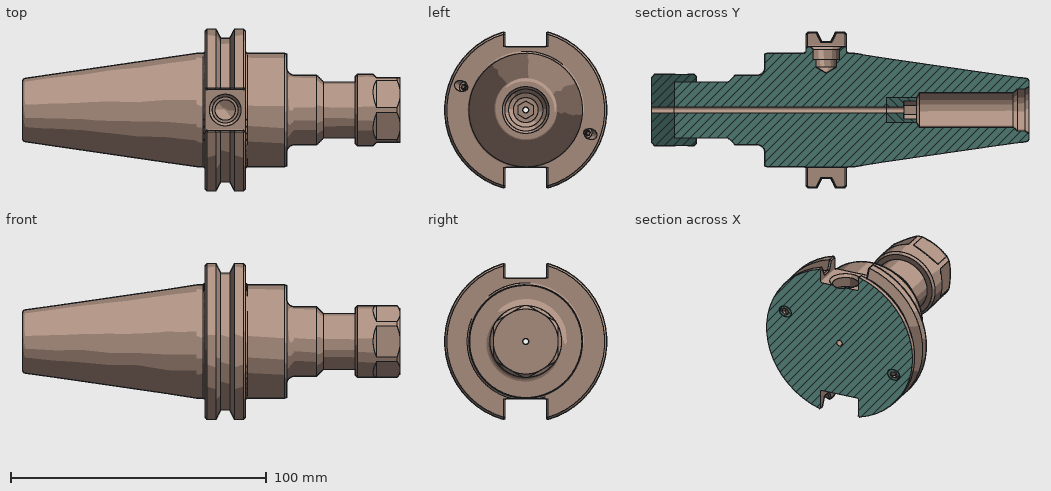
import cadquery as cq
import math

TOTAL_LENGTH = 147.6

TOLERANCE = 0.01

CUTTER_CLEARANCE = 4.5

HEXAGON_SIDES = 6

TAPER_RATIO = 7 / 24
TAPER_LENGTH = 68.2
GAUGE_RADIUS = 22.22
TAPER_END_RADIUS = GAUGE_RADIUS - TAPER_LENGTH * TAPER_RATIO / 2
TAPER_END_FILLET = 1.3

FLANGE_START = 71.3
FLANGE_WIDTH = 16.0
FLANGE_END = FLANGE_START + FLANGE_WIDTH
FLANGE_RADIUS = 31.7
FLANGE_CHAMFER = 0.9
FLANGE_ROOT_FILLET = 0.7
GROOVE_RADIUS = 28.2
GROOVE_FLOOR_WIDTH = 3.5
GROOVE_MOUTH_WIDTH = 7.2
GROOVE_CENTRE = FLANGE_START + FLANGE_WIDTH / 2

SLOT_WIDTH = 16.1
UPPER_SLOT_FLOOR = 24.8
LOWER_SLOT_FLOOR = 22.5
SLOT_EDGE_CHAMFER = 0.6
SLOT_CORNER_FILLET = 0.3

POCKET_RIM_DIAMETER = 12.4
POCKET_DIAMETER = 10.2
POCKET_DEPTH = 5.0
DRILL_DIAMETER = 8.0
DRILL_LENGTH = 3.0
DRILL_TIP_ANGLE = 118.0

BODY_END = 103.3
BODY_EDGE_CHAMFER_LENGTH = 0.9
BODY_EDGE_CHAMFER_HEIGHT = 0.3
STEP_RADIUS = 13.65
STEP_ROOT_FILLET = 3.0
STEP_END = 115.0
NECK_RADIUS = 11.0
NECK_END = 138.8

MOUTH_DIAMETER = 18.3
MOUTH_DEPTH = 1.6
PILOT_DIAMETER = 16.4
PILOT_DEPTH = 4.6
THREAD_DIAMETER = 13.5
THREAD_START = 6.2
THREAD_DEPTH = 42.8
SCREW_DIAMETER = 9.7
SCREW_LENGTH = 11.8
SCREW_SOCKET_ACROSS_FLATS = 6.0
SCREW_SOCKET_DEPTH = 5.0
COOLANT_DIAMETER = 2.2

PLUG_DIAMETER = 4.1
PLUG_LENGTH = 4.0
PLUG_RECESS = 1.9
PLUG_PITCH_RADIUS = 27.0
PLUG_ANGLE = 20.4
PLUG_TILT = 37.0
PLUG_TURNS = (0, 180)
PLUG_SOCKET_ACROSS_FLATS = 2.0
PLUG_SOCKET_DEPTH = 2.0

NUT_START = 130.0
NUT_RADIUS = 14.0
NUT_BACK_CHAMFER = 0.9
NUT_FRONT_CHAMFER_LENGTH = 1.2
NUT_FRONT_CHAMFER_HEIGHT = 1.3
NUT_ACROSS_FLATS = 25.2
NUT_FLATS_START = 138.5


def cone_depth(diameter_change):
    """Axial depth of a drill-point cone over the given change of diameter."""
    return diameter_change / 2 / math.tan(math.radians(DRILL_TIP_ANGLE / 2))


def hexagon_diameter(across_flats):
    """Diameter over the corners of a hexagon."""
    return across_flats / math.cos(math.pi / HEXAGON_SIDES)


def revolve_about_x(profile):
    """Turn a closed XY profile around the X axis."""
    return profile.close().revolve(360, (0, 0, 0), (1, 0, 0))


def axial_cylinder(start, length, diameter):
    return cq.Workplane("YZ", origin=(start, 0, 0)).circle(diameter / 2).extrude(length)


def axial_hexagon(start, length, across_flats):
    """Hexagonal prism along X with corners at +Z and -Z."""
    return (
        cq.Workplane("YZ", origin=(start, 0, 0))
        .transformed(rotate=(0, 0, 90))
        .polygon(HEXAGON_SIDES, hexagon_diameter(across_flats))
        .extrude(length)
    )


THREAD_TIP_END = THREAD_DEPTH + cone_depth(THREAD_DIAMETER - SCREW_DIAMETER)


def taper():
    profile = (
        cq.Workplane("XY")
        .lineTo(0, TAPER_END_RADIUS)
        .lineTo(TAPER_LENGTH, GAUGE_RADIUS)
        .lineTo(TAPER_LENGTH, 0)
    )
    return revolve_about_x(profile).faces("<X").edges().fillet(TAPER_END_FILLET)


def flange():
    half_floor = GROOVE_FLOOR_WIDTH / 2
    half_mouth = GROOVE_MOUTH_WIDTH / 2
    shoulder_radius = FLANGE_RADIUS - FLANGE_CHAMFER
    profile = (
        cq.Workplane("XY")
        .moveTo(FLANGE_START, 0)
        .lineTo(FLANGE_START, shoulder_radius)
        .lineTo(FLANGE_START + FLANGE_CHAMFER, FLANGE_RADIUS)
        .lineTo(GROOVE_CENTRE - half_mouth, FLANGE_RADIUS)
        .lineTo(GROOVE_CENTRE - half_floor, GROOVE_RADIUS)
        .lineTo(GROOVE_CENTRE + half_floor, GROOVE_RADIUS)
        .lineTo(GROOVE_CENTRE + half_mouth, FLANGE_RADIUS)
        .lineTo(FLANGE_END - FLANGE_CHAMFER, FLANGE_RADIUS)
        .lineTo(FLANGE_END, shoulder_radius)
        .lineTo(FLANGE_END, 0)
    )
    return revolve_about_x(profile)


def drive_slot(floor, side):
    """Slot cutter over the flange and its root fillets; side is +1 at +Z and -1 at -Z."""
    length = FLANGE_WIDTH + 2 * FLANGE_ROOT_FILLET
    height = FLANGE_RADIUS
    return (
        cq.Workplane("XY")
        .box(length, SLOT_WIDTH, height)
        .translate((GROOVE_CENTRE, 0, side * (floor + height / 2)))
    )


def cut_drive_slots(shape):
    return shape.cut(drive_slot(UPPER_SLOT_FLOOR, 1)).cut(drive_slot(LOWER_SLOT_FLOOR, -1))


def edges_on_slot_walls(shape):
    """Every edge that lies in the plane of a slot wall."""
    return shape.edges().filter(
        lambda edge: abs(abs(edge.Center().y) - SLOT_WIDTH / 2) < TOLERANCE
        and edge.BoundingBox().ylen < TOLERANCE
    )


def is_floor_corner(edge):
    """True for an edge along the corner between a slot wall and a slot floor."""
    height = edge.Center().z
    return min(abs(height - UPPER_SLOT_FLOOR), abs(height + LOWER_SLOT_FLOOR)) < TOLERANCE


def slotted_flange():
    slotted = cut_drive_slots(flange())
    outer_edges = edges_on_slot_walls(slotted).filter(lambda edge: not is_floor_corner(edge))
    chamfered = outer_edges.chamfer(SLOT_EDGE_CHAMFER)
    return edges_on_slot_walls(chamfered).filter(is_floor_corner).fillet(SLOT_CORNER_FILLET)


def collar():
    """Cylinder between taper and flange, flaring into the flange face."""
    flare_start = FLANGE_START - FLANGE_ROOT_FILLET
    flare_radius = GAUGE_RADIUS + FLANGE_ROOT_FILLET
    profile = (
        cq.Workplane("XY")
        .moveTo(TAPER_LENGTH, 0)
        .lineTo(TAPER_LENGTH, GAUGE_RADIUS)
        .lineTo(flare_start, GAUGE_RADIUS)
        .radiusArc((FLANGE_START, flare_radius), -FLANGE_ROOT_FILLET)
        .lineTo(FLANGE_START, 0)
    )
    return revolve_about_x(profile)


def body_and_neck():
    """Everything turned behind the flange, from its root fillet to the neck end."""
    step_drop = STEP_RADIUS - NECK_RADIUS
    profile = (
        cq.Workplane("XY")
        .moveTo(FLANGE_END, 0)
        .lineTo(FLANGE_END, GAUGE_RADIUS + FLANGE_ROOT_FILLET)
        .radiusArc((FLANGE_END + FLANGE_ROOT_FILLET, GAUGE_RADIUS), -FLANGE_ROOT_FILLET)
        .lineTo(BODY_END - BODY_EDGE_CHAMFER_LENGTH, GAUGE_RADIUS)
        .lineTo(BODY_END, GAUGE_RADIUS - BODY_EDGE_CHAMFER_HEIGHT)
        .lineTo(BODY_END, STEP_RADIUS + STEP_ROOT_FILLET)
        .radiusArc((BODY_END + STEP_ROOT_FILLET, STEP_RADIUS), -STEP_ROOT_FILLET)
        .lineTo(STEP_END, STEP_RADIUS)
        .lineTo(STEP_END + step_drop, NECK_RADIUS)
        .lineTo(NECK_END, NECK_RADIUS)
        .lineTo(NECK_END, 0)
    )
    return revolve_about_x(profile)


def axial_bore():
    """Stepped bore down to the back of the coolant screw."""
    screw_back = THREAD_TIP_END + SCREW_LENGTH
    profile = (
        cq.Workplane("XY")
        .lineTo(0, MOUTH_DIAMETER / 2)
        .lineTo(MOUTH_DEPTH, PILOT_DIAMETER / 2)
        .lineTo(PILOT_DEPTH, PILOT_DIAMETER / 2)
        .lineTo(THREAD_START, THREAD_DIAMETER / 2)
        .lineTo(THREAD_DEPTH, THREAD_DIAMETER / 2)
        .lineTo(THREAD_TIP_END, SCREW_DIAMETER / 2)
        .lineTo(screw_back, SCREW_DIAMETER / 2)
        .lineTo(screw_back, 0)
    )
    return revolve_about_x(profile)


def slot_pocket():
    """Chamfered hole with a drill-point bottom in the upper slot floor."""
    chamfer = (POCKET_RIM_DIAMETER - POCKET_DIAMETER) / 2
    pocket_floor = UPPER_SLOT_FLOOR - POCKET_DEPTH
    drill_end = pocket_floor - DRILL_LENGTH
    return (
        cq.Workplane("XZ", origin=(GROOVE_CENTRE, 0, 0))
        .moveTo(0, UPPER_SLOT_FLOOR)
        .lineTo(POCKET_RIM_DIAMETER / 2, UPPER_SLOT_FLOOR)
        .lineTo(POCKET_DIAMETER / 2, UPPER_SLOT_FLOOR - chamfer)
        .lineTo(POCKET_DIAMETER / 2, pocket_floor)
        .lineTo(DRILL_DIAMETER / 2, pocket_floor)
        .lineTo(DRILL_DIAMETER / 2, drill_end)
        .lineTo(0, drill_end - cone_depth(DRILL_DIAMETER))
        .close()
        .revolve(360, (0, 0, 0), (0, 1, 0))
    )


def place_at_plug(shape, turn):
    """Move a shape built along +X at the origin onto a slanted plug axis.

    The axis passes through the flange face on the plug circle and leans towards
    the main axis with depth.
    """
    return (
        shape.rotate((0, 0, 0), (0, 0, 1), -PLUG_TILT)
        .translate((FLANGE_START, PLUG_PITCH_RADIUS, 0))
        .rotate((0, 0, 0), (1, 0, 0), PLUG_ANGLE + turn)
    )


def plug_hole(turn):
    length = CUTTER_CLEARANCE + PLUG_RECESS + PLUG_LENGTH
    hole = axial_cylinder(-CUTTER_CLEARANCE, length, PLUG_DIAMETER)
    return place_at_plug(hole, turn)


def make_plug(turn):
    plug = axial_cylinder(PLUG_RECESS, PLUG_LENGTH, PLUG_DIAMETER)
    socket = axial_hexagon(PLUG_RECESS, PLUG_SOCKET_DEPTH, PLUG_SOCKET_ACROSS_FLATS)
    return place_at_plug(plug.cut(socket), turn)


def make_holder():
    holder = taper().union(cut_drive_slots(collar()))
    holder = holder.union(slotted_flange()).union(cut_drive_slots(body_and_neck()))
    holder = holder.cut(axial_bore()).cut(slot_pocket())
    for turn in PLUG_TURNS:
        holder = holder.cut(plug_hole(turn))
    return holder.cut(axial_cylinder(0, TOTAL_LENGTH, COOLANT_DIAMETER))


def make_coolant_screw():
    screw = axial_cylinder(THREAD_TIP_END, SCREW_LENGTH, SCREW_DIAMETER)
    socket = axial_hexagon(THREAD_TIP_END, SCREW_SOCKET_DEPTH, SCREW_SOCKET_ACROSS_FLATS)
    return screw.cut(socket).cut(axial_cylinder(0, TOTAL_LENGTH, COOLANT_DIAMETER))


def nut_flat_cutter(turn):
    """Wedge that mills one flat and its 45 degree run-out, above the flat's plane."""
    flat_height = NUT_ACROSS_FLATS / 2
    cutter_height = NUT_RADIUS - flat_height + CUTTER_CLEARANCE
    cutter = (
        cq.Workplane("XY")
        .moveTo(NUT_FLATS_START, flat_height)
        .lineTo(TOTAL_LENGTH, flat_height)
        .lineTo(TOTAL_LENGTH, flat_height + cutter_height)
        .lineTo(NUT_FLATS_START - cutter_height, flat_height + cutter_height)
        .close()
        .extrude(NUT_RADIUS, both=True)
    )
    return cutter.rotate((0, 0, 0), (1, 0, 0), turn)


def make_nut():
    """Hexagonal nut that closes over the end of the neck."""
    profile = (
        cq.Workplane("XY")
        .moveTo(NUT_START, 0)
        .lineTo(NUT_START, NUT_RADIUS - NUT_BACK_CHAMFER)
        .lineTo(NUT_START + NUT_BACK_CHAMFER, NUT_RADIUS)
        .lineTo(TOTAL_LENGTH - NUT_FRONT_CHAMFER_LENGTH, NUT_RADIUS)
        .lineTo(TOTAL_LENGTH, NUT_RADIUS - NUT_FRONT_CHAMFER_HEIGHT)
        .lineTo(TOTAL_LENGTH, 0)
    )
    nut = revolve_about_x(profile)
    for side in range(HEXAGON_SIDES):
        nut = nut.cut(nut_flat_cutter(side * 360 / HEXAGON_SIDES))
    neck_seat = axial_cylinder(NUT_START, NECK_END - NUT_START, 2 * NECK_RADIUS)
    return nut.cut(neck_seat).cut(axial_cylinder(0, TOTAL_LENGTH, COOLANT_DIAMETER))


holder = make_holder()
coolant_screw = make_coolant_screw()
nut = make_nut()
plugs = [make_plug(turn) for turn in PLUG_TURNS]

result = cq.Compound.makeCompound(
    [holder.val(), coolant_screw.val(), nut.val(), *[plug.val() for plug in plugs]]
)